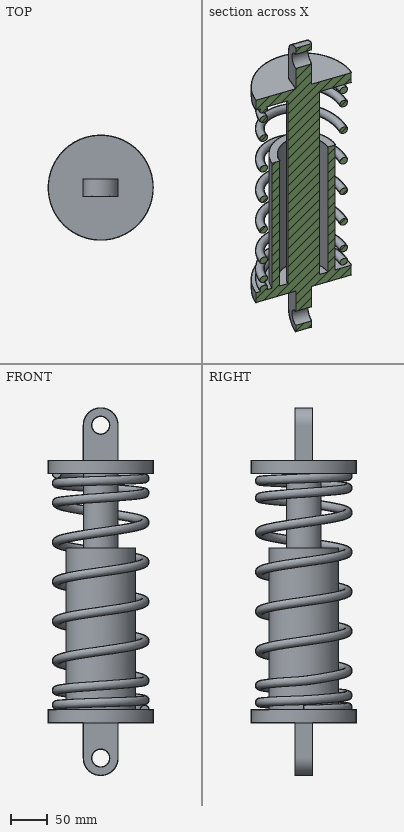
import cadquery as cq
import math

total_height = 503.0
plate_diameter = 144.0
plate_thickness = 18.0

lug_length = 72.0
lug_width = 48.0
lug_thickness = 24.0
lug_hole_diameter = 24.0

tube_diameter = 95.5
tube_bore_diameter = 72.0
tube_top_z = 60.0
rod_diameter = 48.0

spring_outer_diameter = 132.5
wire_diameter = 12.0
end_pitch = 13.0
near_end_pitch = 26.5
middle_turns = 4.5
points_per_turn = 12

plate_outer_z = total_height / 2 - lug_length
plate_inner_z = plate_outer_z - plate_thickness
coil_radius = (spring_outer_diameter - wire_diameter) / 2
middle_pitch = 2 * (plate_inner_z - end_pitch - near_end_pitch) / middle_turns

spring_stretches = [
    (1, end_pitch),
    (1, near_end_pitch),
    (middle_turns, middle_pitch),
    (1, near_end_pitch),
    (1, end_pitch),
]


def cylinder(diameter, bottom_z, top_z):
    return cq.Workplane("XY").workplane(offset=bottom_z).circle(diameter / 2).extrude(top_z - bottom_z)


def upper_end():
    """Round plate with a rounded, drilled lug standing on it."""
    plate = cylinder(plate_diameter, plate_inner_z, plate_outer_z)
    half_width = lug_width / 2
    eye_z = total_height / 2 - half_width
    lug = (
        cq.Workplane("XZ")
        .moveTo(-half_width, plate_inner_z)
        .lineTo(-half_width, eye_z)
        .threePointArc((0, total_height / 2), (half_width, eye_z))
        .lineTo(half_width, plate_inner_z)
        .close()
        .extrude(lug_thickness / 2, both=True)
    )
    hole = (
        cq.Workplane("XZ")
        .center(0, eye_z)
        .circle(lug_hole_diameter / 2)
        .extrude(lug_thickness, both=True)
    )
    return plate.union(lug).cut(hole)


def damper():
    """Open-topped tube with the piston rod running down its middle."""
    tube = cylinder(tube_diameter, -plate_inner_z, tube_top_z)
    bore = cylinder(tube_bore_diameter, -plate_inner_z, tube_top_z)
    rod = cylinder(rod_diameter, -plate_inner_z, plate_inner_z)
    return tube.cut(bore).union(rod)


def coil_height(turn):
    """Height of the wire centre after the given number of turns from the bottom."""
    height = -plate_inner_z
    for turns, pitch in spring_stretches:
        turns_here = min(turn, turns)
        height += turns_here * pitch
        turn -= turns_here
    return height


def coil_point(turn):
    angle = 2 * math.pi * turn
    return cq.Vector(coil_radius * math.cos(angle), coil_radius * math.sin(angle), coil_height(turn))


def spring():
    """Wire swept along the coil; its ends sink halfway into the plates."""
    total_turns = sum(turns for turns, pitch in spring_stretches)
    steps = round(total_turns * points_per_turn)
    points = [coil_point(step / points_per_turn) for step in range(steps + 1)]
    edge = cq.Edge.makeSpline(points)
    start_plane = cq.Plane(origin=points[0], xDir=(1, 0, 0), normal=edge.tangentAt(0))
    path = cq.Workplane(cq.Wire.assembleEdges([edge]))
    return cq.Workplane(start_plane).circle(wire_diameter / 2).sweep(path, isFrenet=True)


top = upper_end()
bottom = top.mirror("XY")
body = top.union(bottom).union(damper())
result = body.union(spring())